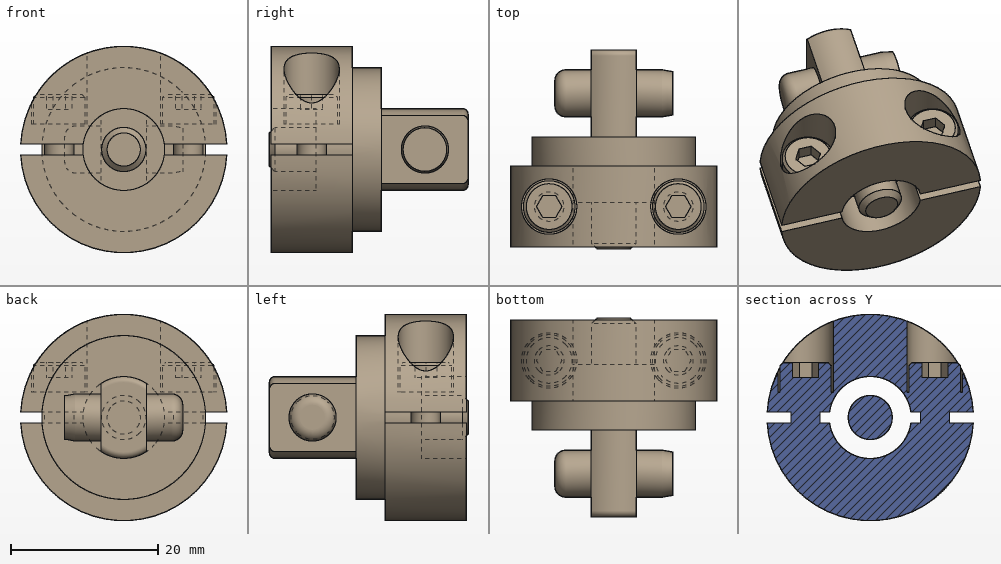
import cadquery as cq
import math

CLAMP_DIAMETER = 28.0
CLAMP_LENGTH = 11.0
FLANGE_DIAMETER = 22.22
FLANGE_LENGTH = 3.95
BORE_DIAMETER = 11.1
BORE_DEPTH = 6.08
SLOT_WIDTH = 1.45

PILOT_DIAMETER = 6.0
PILOT_CHAMFER = 0.75
PILOT_PROTRUSION = 0.25

TANG_DIAMETER = BORE_DIAMETER
TANG_WIDTH = 6.1
TANG_LENGTH = 11.77
TANG_ROUND = 0.8

CROSS_PIN_DIAMETER = 6.4
CROSS_PIN_LENGTH = 16.0
CROSS_PIN_TO_FLANGE = 5.9
CROSS_PIN_ROUND = 1.5
CROSS_PIN_TAPER_LENGTH = 1.4
CROSS_PIN_TAPER = 0.25

SCREW_OFFSET = 8.75
SCREW_DIAMETER = 4.0
HEAD_DIAMETER = 7.0
HEAD_HEIGHT = 4.0
HEAD_CHAMFER = 0.4
HEAD_SEAT_Z = 3.45
SOCKET_ACROSS_FLATS = 3.0
SOCKET_DEPTH = 2.0
COUNTERBORE_DIAMETER = 7.5

FLANGE_REAR = CLAMP_LENGTH + FLANGE_LENGTH
SCREW_Y = CLAMP_LENGTH / 2
CLAMP_RADIUS = CLAMP_DIAMETER / 2


def cylinder_y(diameter, start, length):
    """Cylinder on the hub axis from Y = start, running toward +Y."""
    plane = cq.Workplane("XZ", origin=(0, start, 0))
    return plane.circle(diameter / 2).extrude(-length)


def cylinder_z(x, diameter, start, length):
    """Cylinder on a clamp screw axis from Z = start, running toward +Z."""
    plane = cq.Workplane("XY", origin=(x, SCREW_Y, start))
    return plane.circle(diameter / 2).extrude(length)


def hub():
    """Clamp collar and flange around a round core.

    The split crosses the whole clamp except the core, whose front face is the bore floor.
    """
    clamp = cylinder_y(CLAMP_DIAMETER, 0, CLAMP_LENGTH)
    bore = cylinder_y(BORE_DIAMETER, 0, BORE_DEPTH)
    split = cq.Workplane("XY").box(
        CLAMP_DIAMETER, CLAMP_LENGTH, SLOT_WIDTH, centered=(True, False, True)
    )
    core = cylinder_y(BORE_DIAMETER, BORE_DEPTH, CLAMP_LENGTH - BORE_DEPTH)
    flange = cylinder_y(FLANGE_DIAMETER, CLAMP_LENGTH, FLANGE_LENGTH)
    return clamp.cut(bore).cut(split).union(core).union(flange)


def pilot_pin():
    """Chamfered pin standing on the bore floor and just passing the clamp face."""
    pin = cylinder_y(PILOT_DIAMETER, -PILOT_PROTRUSION, BORE_DEPTH + PILOT_PROTRUSION)
    return pin.faces("<Y").chamfer(PILOT_CHAMFER)


def tang():
    """Round bar with a rounded end edge, cut down to two flat sides."""
    bar = cylinder_y(TANG_DIAMETER, FLANGE_REAR, TANG_LENGTH)
    bar = bar.faces(">Y").edges().fillet(TANG_ROUND)
    flats = cq.Workplane("XY", origin=(0, FLANGE_REAR, 0)).box(
        TANG_WIDTH, TANG_LENGTH, TANG_DIAMETER, centered=(True, False, True)
    )
    return bar.intersect(flats)


def cross_pin():
    """Pin with a rounded -X end and a slightly tapered +X end."""
    pin_y = FLANGE_REAR + CROSS_PIN_TO_FLANGE
    plane = cq.Workplane("YZ", origin=(-CROSS_PIN_LENGTH / 2, pin_y, 0))
    pin = plane.circle(CROSS_PIN_DIAMETER / 2).extrude(CROSS_PIN_LENGTH)
    pin = pin.faces("<X").edges().fillet(CROSS_PIN_ROUND)
    return pin.faces(">X").edges().chamfer(CROSS_PIN_TAPER_LENGTH, CROSS_PIN_TAPER)


def clamp_screw(x):
    """Socket head screw seated in the upper half and fixed in the lower half."""
    shank = cylinder_z(x, SCREW_DIAMETER, -HEAD_SEAT_Z, 2 * HEAD_SEAT_Z)
    head = cylinder_z(x, HEAD_DIAMETER, HEAD_SEAT_Z, HEAD_HEIGHT)
    head = head.faces(">Z").chamfer(HEAD_CHAMFER)
    across_corners = SOCKET_ACROSS_FLATS / math.cos(math.pi / 6)
    socket_floor = HEAD_SEAT_Z + HEAD_HEIGHT - SOCKET_DEPTH
    socket = (
        cq.Workplane("XY", origin=(x, SCREW_Y, socket_floor))
        .polygon(6, across_corners)
        .extrude(SOCKET_DEPTH)
    )
    return shank.union(head.cut(socket))


result = hub().union(pilot_pin())
result = result.union(tang()).union(cross_pin())

for screw_x in (-SCREW_OFFSET, SCREW_OFFSET):
    counterbore = cylinder_z(screw_x, COUNTERBORE_DIAMETER, HEAD_SEAT_Z, CLAMP_RADIUS)
    result = result.cut(counterbore).union(clamp_screw(screw_x))